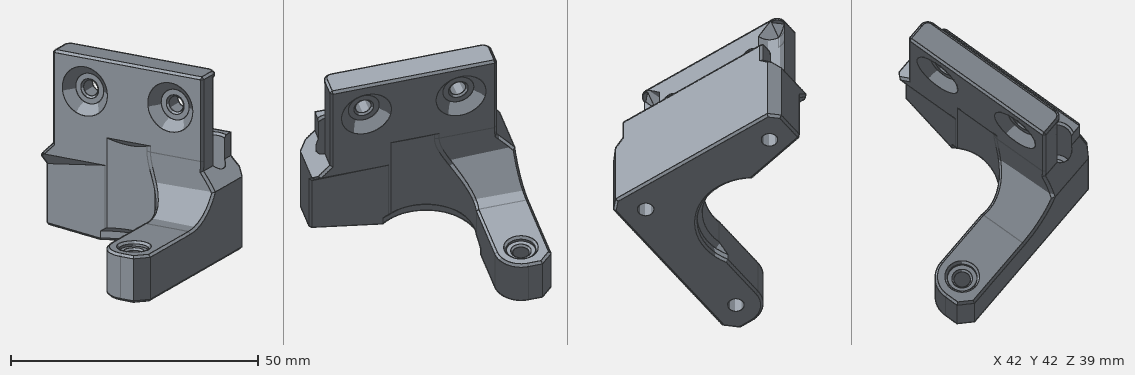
import cadquery as cq
import math

size = 42.0
half = size / 2
height = 39.0
edge_chamfer = 0.5

front_y = 9.0
plate_rear_y = 15.0
plate_half_width = 17.5
plate_corner_radius = 1.75
step_z = 24.0
shoulder_z = 19.0
shoulder_slope = half - plate_half_width
rear_corner_chamfer = 2.0

arm_inner_x = 10.0
arm_height = 10.0
arm_tip_radius = 5.5
arm_tip_chamfer = 2.5

boss_radius = 10.2
boss_roof_z = 22.35
recess_radius = 11.25
recess_height = 2.0

boss_corner_x = math.sqrt(boss_radius**2 - front_y**2)
boss_corner_y = -math.sqrt(boss_radius**2 - arm_inner_x**2)
arm_blend_radius = front_y - boss_corner_y

relief_depth = 3.3
relief_right_x = -5.3
relief_roof_z = 16.4

screw_offset = 15.5
screw_diameter = 3.3
screw_seat_z = 9.0
screw_seat_chamfer = 0.4
rear_pocket_diameter = 6.2
rear_pocket_cone_z = 35.57
plate_lip_z = 37.95
arm_pocket_diameter = 6.0

plate_screw_x = 9.95
plate_screw_z = 31.4
countersink_diameter = 10.5
countersink_floor_diameter = 6.5


def plan_outline():
    """L-shaped plan, straight across the corner that the boss clearance rounds."""
    return (
        cq.Workplane("XY")
        .moveTo(-half, half - rear_corner_chamfer)
        .lineTo(-half + rear_corner_chamfer, half)
        .lineTo(half - rear_corner_chamfer, half)
        .lineTo(half, half - rear_corner_chamfer)
        .lineTo(half, -half + arm_tip_chamfer)
        .lineTo(half - arm_tip_chamfer, -half)
        .lineTo(arm_inner_x + arm_tip_radius, -half)
        .radiusArc((arm_inner_x, -half + arm_tip_radius), arm_tip_radius)
        .lineTo(arm_inner_x, boss_corner_y)
        .lineTo(boss_corner_x, front_y)
        .lineTo(-half, front_y)
        .close()
        .extrude(height)
    )


def front_outline():
    """Wide base tapering at 45 degrees to the upright plate."""
    return (
        cq.Workplane("XZ", origin=(0, half, 0))
        .moveTo(-half, 0)
        .lineTo(half, 0)
        .lineTo(half, shoulder_z - shoulder_slope)
        .lineTo(plate_half_width, shoulder_z)
        .lineTo(plate_half_width, height)
        .lineTo(-plate_half_width, height)
        .lineTo(-plate_half_width, shoulder_z)
        .lineTo(-half, shoulder_z - shoulder_slope)
        .close()
        .extrude(size)
    )


def side_outline():
    """Low arm blending up into the plate, with a lower step behind the plate."""
    return (
        cq.Workplane("YZ", origin=(-half, 0, 0))
        .moveTo(-half, 0)
        .lineTo(half, 0)
        .lineTo(half, step_z)
        .lineTo(plate_rear_y, step_z)
        .lineTo(plate_rear_y, height)
        .lineTo(front_y, height)
        .lineTo(front_y, arm_height + arm_blend_radius)
        .radiusArc((front_y - arm_blend_radius, arm_height), arm_blend_radius)
        .lineTo(-half, arm_height)
        .close()
        .extrude(size)
    )


def below_roof(roof_z):
    """Space under a 45-degree roof that meets the front face at roof_z."""
    return (
        cq.Workplane("YZ", origin=(-half, 0, 0))
        .moveTo(-half, 0)
        .lineTo(front_y + roof_z, 0)
        .lineTo(-half, front_y + roof_z + half)
        .close()
        .extrude(size)
    )


def boss_clearance():
    bore = cq.Workplane("XY").circle(boss_radius).extrude(height)
    recess = (
        cq.Workplane("XZ")
        .lineTo(recess_radius, 0)
        .lineTo(recess_radius, recess_height)
        .lineTo(boss_radius, recess_height + recess_radius - boss_radius)
        .lineTo(0, recess_height + recess_radius - boss_radius)
        .close()
        .revolve(360, (0, 0, 0), (0, 1, 0))
    )
    return bore.intersect(below_roof(boss_roof_z)).union(recess)


def left_relief():
    wedge = (
        cq.Workplane("XY")
        .moveTo(-half, front_y + relief_depth)
        .lineTo(relief_right_x, front_y)
        .lineTo(-half, front_y)
        .close()
        .extrude(height)
    )
    return wedge.intersect(below_roof(relief_roof_z))


def outer_rim(body):
    """Sharp outer edges that share the common chamfer, found by points on or near their middles."""
    arm_corner = half - arm_tip_chamfer / 2
    slope_x = half - shoulder_slope / 2
    slope_z = shoulder_z - shoulder_slope / 2
    plate_mid_z = (shoulder_z + height) / 2
    relief_left_y = front_y + relief_depth
    relief_roof_low_z = relief_roof_z - relief_depth

    blend = body.faces("%CYLINDER").faces(cq.NearestToPointSelector((screw_offset, 0, arm_height)))
    blend_rim = blend.edges("not |X").vals()

    rim_points = [
        (arm_inner_x, -screw_offset / 2, arm_height),
        (arm_inner_x, -half, arm_height),
        (screw_offset, -half, arm_height),
        (arm_corner, -arm_corner, arm_height),
        (half, -screw_offset / 2, arm_height),
        (plate_half_width, front_y, plate_mid_z),
        (-plate_half_width, front_y, plate_mid_z),
        (-slope_x, front_y, slope_z),
        (-half, front_y, relief_roof_z),
        (-half, relief_left_y, relief_roof_low_z),
        (-half, relief_left_y, relief_roof_low_z / 2),
        (0, half, step_z),
    ]
    for side in (-1, 1):
        rim_points.append((side * plate_half_width, half, (shoulder_z + step_z) / 2))
        rim_points.append((side * slope_x, half, slope_z))
    rim = [body.edges(cq.NearestToPointSelector(point)).val() for point in rim_points]

    return blend_rim + rim + body.faces("<Z or >Z").edges().vals()


def screw_hole(pocket_diameter, pocket_top_z):
    """Vertical through hole with a chamfered seat under a head pocket."""
    radius = screw_diameter / 2
    entry_start = cq.Vector(0, 0, screw_seat_z - screw_seat_chamfer)
    entry = cq.Solid.makeCone(radius, radius + screw_seat_chamfer, screw_seat_chamfer, entry_start)
    hole = cq.Workplane("XY").circle(radius).extrude(screw_seat_z)
    pocket = (
        cq.Workplane("XY", origin=(0, 0, screw_seat_z))
        .circle(pocket_diameter / 2)
        .extrude(pocket_top_z - screw_seat_z)
    )
    return hole.union(cq.Workplane(entry)).union(pocket)


def corner_relief():
    """Outward half of the left rear pocket, cut on up a diagonal slope to the lip of the plate."""
    radius = rear_pocket_diameter / 2
    low_z = rear_pocket_cone_z - radius
    reach = radius * math.sqrt(2)
    lip_reach = (plate_lip_z - rear_pocket_cone_z - radius) / math.sqrt(2)
    below_slope = (
        cq.Workplane(cq.Plane((0, 0, 0), xDir=(-1, 1, 0), normal=(1, 1, 0)))
        .moveTo(-reach, low_z)
        .lineTo(lip_reach, plate_lip_z)
        .lineTo(reach, plate_lip_z)
        .lineTo(reach, low_z)
        .close()
        .extrude(reach, both=True)
    )
    half_pocket = (
        cq.Workplane("XY", origin=(0, 0, low_z))
        .moveTo(0, -radius)
        .radiusArc((0, radius), radius)
        .close()
        .extrude(plate_lip_z - low_z)
    )
    return half_pocket.intersect(below_slope)


def rear_screw_hole():
    """Left rear screw hole, whose pocket runs up into the plate under a 45-degree conical roof."""
    radius = rear_pocket_diameter / 2
    roof = cq.Solid.makeCone(radius, 0, radius, cq.Vector(0, 0, rear_pocket_cone_z))
    hole = screw_hole(rear_pocket_diameter, rear_pocket_cone_z)
    hole = hole.union(cq.Workplane(roof)).union(corner_relief())
    return hole.translate((-screw_offset, screw_offset, 0))


def plate_screw_hole():
    """Horizontal hole with a conical recess from the front face down to a flat chamfered seat."""
    inward = cq.Vector(0, 1, 0)
    mouth_radius = countersink_diameter / 2
    floor_radius = countersink_floor_diameter / 2
    hole_radius = screw_diameter / 2
    depth = mouth_radius - floor_radius
    recess = cq.Solid.makeCone(mouth_radius, floor_radius, depth, cq.Vector(0, front_y, 0), inward)
    entry = cq.Solid.makeCone(
        hole_radius + screw_seat_chamfer,
        hole_radius,
        screw_seat_chamfer,
        cq.Vector(0, front_y + depth, 0),
        inward,
    )
    hole = cq.Solid.makeCylinder(hole_radius, half, cq.Vector(0, front_y, 0), inward)
    return cq.Workplane(recess).union(cq.Workplane(entry)).union(cq.Workplane(hole))


body = plan_outline().intersect(front_outline()).intersect(side_outline())
body = body.cut(boss_clearance()).cut(left_relief())

for side in (-1, 1):
    corner = (side * plate_half_width, plate_rear_y, (step_z + height) / 2)
    body = body.edges(cq.NearestToPointSelector(corner)).fillet(plate_corner_radius)
body = body.newObject(outer_rim(body)).chamfer(edge_chamfer)

arm_hole = screw_hole(arm_pocket_diameter, arm_height)
body = body.cut(arm_hole.translate((screw_offset, -screw_offset, 0)))
body = body.cut(rear_screw_hole()).cut(rear_screw_hole().mirror("YZ"))
for side in (-1, 1):
    body = body.cut(plate_screw_hole().translate((side * plate_screw_x, 0, plate_screw_z)))

pocket_mouths = [
    (screw_offset, -screw_offset, arm_height),
    (-screw_offset, screw_offset, step_z),
    (screw_offset, screw_offset, step_z),
]
for mouth in pocket_mouths:
    body = body.edges("%CIRCLE").edges(cq.NearestToPointSelector(mouth)).chamfer(edge_chamfer)

result = body